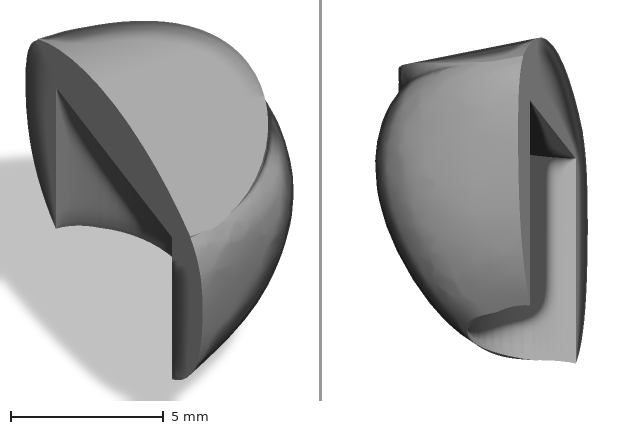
import cadquery as cq
import math

height = 9.76
crown_half_width = 5.0
crown_depth = 5.05
shoulder_height = 8.06

bore_half_width = 3.81
bore_depth = 2.77
bore_height = 6.92

crown_sag = 1.62
crown_drop = 0.77

side_flattening = 0.31
bulge_sections = [
    (0, bore_half_width, bore_depth, side_flattening),
    (1.05, 4.8, 3.93, side_flattening),
    (3.02, 5.6, 5.15, side_flattening),
    (5.47, 5.82, 5.79, side_flattening),
    (6.92, 5.64, 5.63, side_flattening / 2),
    (shoulder_height, crown_half_width, crown_depth, 0),
]
outline_steps = 12


def half_section(z, half_width, depth, flattening):
    """Closed half-oval wire at height z, with slightly flattened sides."""
    points = []
    for step in range(outline_steps + 1):
        angle = math.pi * step / outline_steps
        x = math.cos(angle) * half_width
        x -= abs(math.cos(angle)) * flattening * math.sin(4 * angle)
        y = depth * math.sin(angle)
        points.append(cq.Vector(x, y, z))
    oval = cq.Edge.makeSpline(points)
    base = cq.Edge.makeLine(points[-1], points[0])
    return cq.Wire.assembleEdges([oval, base])


def arc_radius(half_chord, sagitta):
    return (half_chord**2 + sagitta**2) / (2 * sagitta)


def make_bulge():
    wires = [half_section(*section) for section in bulge_sections]
    return cq.Workplane(obj=cq.Solid.makeLoft(wires))


def make_crown_wall():
    """Upright half-oval wall above the bulge."""
    outline = half_section(shoulder_height, crown_half_width, crown_depth, 0)
    rise = cq.Vector(0, 0, height - shoulder_height)
    return cq.Workplane(obj=cq.Solid.extrudeLinear(outline, [], rise))


def make_top_envelope():
    """Sloping cylinder whose upper side forms the top face."""
    radius = arc_radius(crown_half_width, crown_sag)
    slope = math.atan2(crown_drop, crown_depth)
    axis = cq.Vector(0, math.cos(slope), -math.sin(slope))
    overrun = 2 * crown_depth
    start = cq.Vector(0, 0, height - radius / math.cos(slope)) - axis * overrun
    return cq.Workplane(obj=cq.Solid.makeCylinder(radius, 2 * overrun, start, axis))


def make_bore():
    return (
        cq.Workplane("XY")
        .moveTo(-bore_half_width, 0)
        .threePointArc((0, bore_depth), (bore_half_width, 0))
        .close()
        .extrude(bore_height)
    )


body = make_bulge().union(make_crown_wall())
result = body.intersect(make_top_envelope()).cut(make_bore())